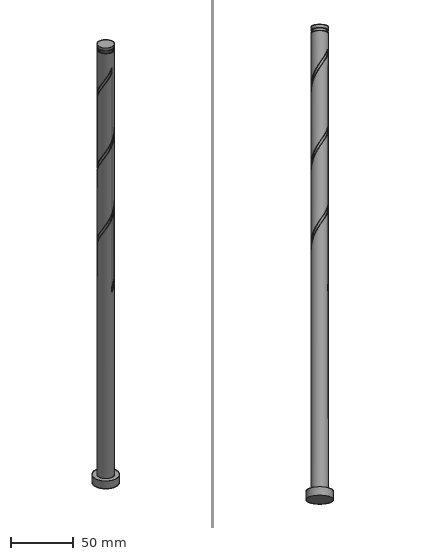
import cadquery as cq

total_length = 400.0
head_diameter = 22.0
head_height = 7.0
shaft_diameter = 14.0

ring_groove_depth = 1.0
ring_groove_width = 2.5
end_collar_height = 3.0

helix_start = 178.5
helix_height = 200.0
helix_turns = 3
helix_groove_width = 4.0
helix_groove_depth = 0.5
cutter_overlap = 1.0

shaft_radius = shaft_diameter / 2


def make_pin():
    """Round shaft standing on a flat disc head."""
    head = cq.Workplane("XY").circle(head_diameter / 2).extrude(head_height)
    shaft = cq.Workplane("XY").circle(shaft_radius).extrude(total_length)
    return head.union(shaft)


def make_ring_cutter():
    """Ring that leaves a narrow collar at the free end."""
    groove_bottom = total_length - end_collar_height - ring_groove_width
    return (
        cq.Workplane("XY", origin=(0, 0, groove_bottom))
        .circle(head_diameter / 2)
        .circle(shaft_radius - ring_groove_depth)
        .extrude(ring_groove_width)
    )


def make_helix_cutter():
    """Rectangular section swept along a helix around the shaft."""
    path = cq.Wire.makeHelix(
        helix_height / helix_turns,
        helix_height,
        shaft_radius,
        center=cq.Vector(0, 0, helix_start),
    )
    section_center = shaft_radius + (cutter_overlap - helix_groove_depth) / 2
    return (
        cq.Workplane("XZ")
        .center(section_center, helix_start)
        .rect(helix_groove_depth + cutter_overlap, helix_groove_width)
        .sweep(cq.Workplane(path), isFrenet=True)
    )


result = make_pin().cut(make_ring_cutter()).cut(make_helix_cutter())